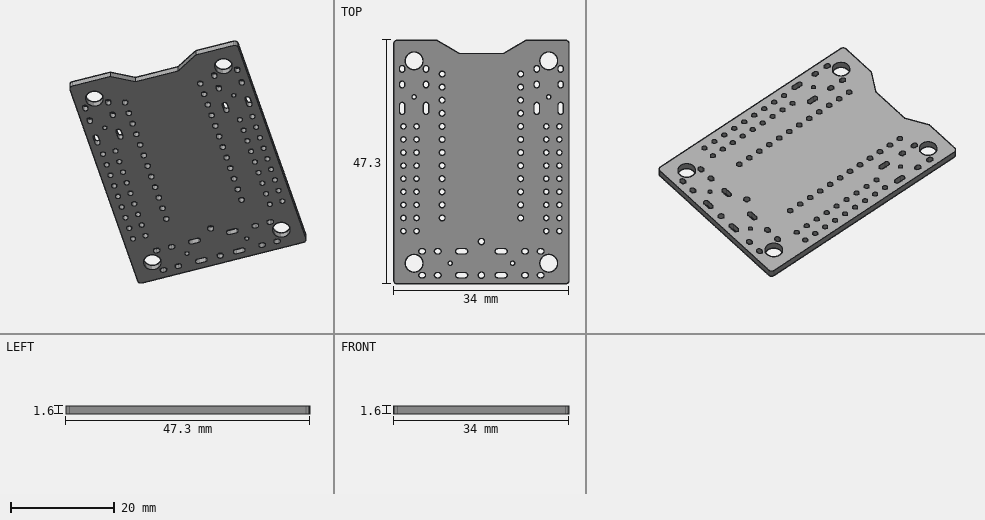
import cadquery as cq

WIDTH = 34.05
LENGTH = 47.3
THICKNESS = 1.6
CORNER_RADIUS = 0.7

NOTCH_MOUTH_WIDTH = 17.3
NOTCH_FLOOR_WIDTH = 8.6
NOTCH_DEPTH = 2.55

MOUNT_DIAMETER = 3.4
MOUNT_X = 13.05
MOUNT_Y = 19.65

PIN_FIRST_Y = 17.1
INNER_PIN_X = 7.6
PIN_PITCH = INNER_PIN_X / 3
INNER_PIN_DIAMETER = 1.1
INNER_PIN_ROWS = range(0, 12)
OUTER_PIN_DIAMETER = 1.0
OUTER_PIN_X = 12.6
OUTER_PIN_ROWS = range(4, 13)

PEG_DIAMETER = 0.8
SLOT_WIDTH = 1.0
SHORT_SLOT_LENGTH = 1.3
LONG_SLOT_LENGTH = 2.3
SLOT_ROW_SPACING = 4.65
SOCKET_SLOTS = [
    (5.45, SHORT_SLOT_LENGTH),
    (2.4, SHORT_SLOT_LENGTH),
    (-2.2, LONG_SLOT_LENGTH),
]
SIDE_SOCKET_X = MOUNT_X
SIDE_SOCKET_Y = 12.65
END_SOCKET_X = 6.05
END_SOCKET_Y = -MOUNT_Y

CENTER_HOLE_DIAMETER = 1.2
UPPER_CENTER_HOLE_Y = -15.4
LOWER_CENTER_HOLE_Y = END_SOCKET_Y - SLOT_ROW_SPACING / 2


def through_holes(diameter, points):
    return cq.Workplane("XY").pushPoints(points).circle(diameter / 2).extrude(THICKNESS)


def mirrored_columns(x, y_values):
    return [(side * x, y) for side in (-1, 1) for y in y_values]


def pin_rows(rows):
    return [PIN_FIRST_Y - row * PIN_PITCH for row in rows]


def make_plate():
    plate = cq.Workplane("XY").rect(WIDTH, LENGTH).extrude(THICKNESS)
    return plate.edges("|Z").fillet(CORNER_RADIUS)


def make_notch():
    top = LENGTH / 2
    outline = [
        (-NOTCH_MOUTH_WIDTH / 2, top),
        (-NOTCH_FLOOR_WIDTH / 2, top - NOTCH_DEPTH),
        (NOTCH_FLOOR_WIDTH / 2, top - NOTCH_DEPTH),
        (NOTCH_MOUTH_WIDTH / 2, top),
    ]
    return cq.Workplane("XY").polyline(outline).close().extrude(THICKNESS)


def make_socket(x, y, angle):
    """Cutter for one socket centred on its locating hole, its axis turned by angle from +X."""
    socket = through_holes(PEG_DIAMETER, [(0, 0)])
    for offset, length in SOCKET_SLOTS:
        slots = (
            cq.Workplane("XY")
            .pushPoints([(offset, SLOT_ROW_SPACING / 2), (offset, -SLOT_ROW_SPACING / 2)])
            .slot2D(length, SLOT_WIDTH)
            .extrude(THICKNESS)
        )
        socket = socket.union(slots)
    return socket.rotate((0, 0, 0), (0, 0, 1), angle).translate((x, y, 0))


result = make_plate().cut(make_notch())
mounts = mirrored_columns(MOUNT_X, [MOUNT_Y, -MOUNT_Y])
result = result.cut(through_holes(MOUNT_DIAMETER, mounts))

inner_pins = mirrored_columns(INNER_PIN_X, pin_rows(INNER_PIN_ROWS))
result = result.cut(through_holes(INNER_PIN_DIAMETER, inner_pins))
for column_x in (OUTER_PIN_X, OUTER_PIN_X + PIN_PITCH):
    outer_pins = mirrored_columns(column_x, pin_rows(OUTER_PIN_ROWS))
    result = result.cut(through_holes(OUTER_PIN_DIAMETER, outer_pins))

result = result.cut(make_socket(-SIDE_SOCKET_X, SIDE_SOCKET_Y, 90))
result = result.cut(make_socket(SIDE_SOCKET_X, SIDE_SOCKET_Y, 90))
result = result.cut(make_socket(-END_SOCKET_X, END_SOCKET_Y, 180))
result = result.cut(make_socket(END_SOCKET_X, END_SOCKET_Y, 0))

center_holes = [(0, UPPER_CENTER_HOLE_Y), (0, LOWER_CENTER_HOLE_Y)]
result = result.cut(through_holes(CENTER_HOLE_DIAMETER, center_holes))